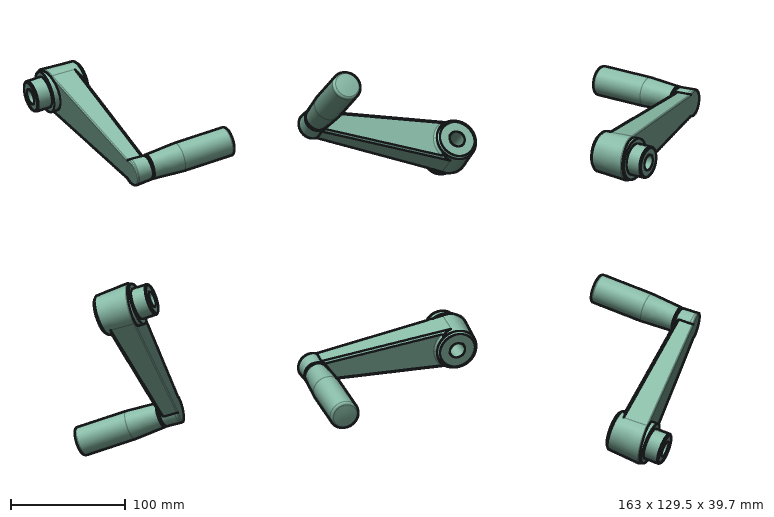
import cadquery as cq
import math

ARM_LENGTH = 130.0
DRAFT = 3.5
DRAFT_SLOPE = math.tan(math.radians(DRAFT))

SLEEVE_RADIUS = 14.0
SLEEVE_LENGTH = 14.0
SLEEVE_CHAMFER = 1.0
BORE_DIAMETER = 14.0
COLLAR_RADIUS = 18.5

HUB_TOP = 49.0
HUB_BASE = 15.5
HUB_BASE_RADIUS = 20.08
HUB_TOP_CHAMFER = 2.0

BOSS_TOP = 49.5
BOSS_FOOT_TOP = 35.4
BOSS_FOOT_RADIUS = 11.9
BOSS_TOP_CHAMFER = 0.5

UNDERSIDE_ANGLE = 6.4
UNDERSIDE_AT_HUB = 17.95
UPPER_ANGLE = 2.1
UPPER_AT_HUB = 43.45
ARM_HALF_WIDTH_AT_HUB = 20.0
ARM_HALF_WIDTH_AT_BOSS = 11.2
ARM_TOP_CHAMFER = 2.0
ROOT_FILLET = 2.0
UNDERSIDE_EDGE_RADIUS = 1.0

NECK_RADIUS = 10.0
GRIP_START = 50.2
GRIP_START_RADIUS = 11.1
GRIP_CHAMFER = 0.5
SHANK_END = 79.7
SHANK_END_RADIUS = 13.0
BARREL_RADIUS = SHANK_END_RADIUS
GRIP_END = 129.5
DOME_HEIGHT = 1.2
BARREL_END_FILLET = 2.5


def underside_y(x):
    return UNDERSIDE_AT_HUB + x * math.tan(math.radians(UNDERSIDE_ANGLE))


def upper_y(x):
    return UPPER_AT_HUB + x * math.tan(math.radians(UPPER_ANGLE))


def hub_radius(y):
    return HUB_BASE_RADIUS - (y - HUB_BASE) * DRAFT_SLOPE


def turned(profile, axis_x):
    """Revolve a closed (radius, Y) profile about the line parallel to Y at axis_x."""
    return profile.close().revolve(360, (0, 0, 0), (0, 1, 0)).translate((axis_x, 0, 0))


def rod(radius, start, end, axis_x=0.0):
    profile = cq.Workplane("XY").moveTo(0, start).lineTo(radius, start).lineTo(radius, end).lineTo(0, end)
    return turned(profile, axis_x)


def make_hub():
    profile = (
        cq.Workplane("XY")
        .moveTo(0, HUB_BASE)
        .lineTo(HUB_BASE_RADIUS, HUB_BASE)
        .lineTo(hub_radius(HUB_TOP), HUB_TOP)
        .lineTo(0, HUB_TOP)
    )
    return turned(profile, 0).faces(">Y").chamfer(HUB_TOP_CHAMFER)


def make_boss():
    top_radius = BOSS_FOOT_RADIUS - (BOSS_TOP - BOSS_FOOT_TOP) * DRAFT_SLOPE
    profile = (
        cq.Workplane("XY")
        .moveTo(0, HUB_BASE)
        .lineTo(BOSS_FOOT_RADIUS, HUB_BASE)
        .lineTo(BOSS_FOOT_RADIUS, BOSS_FOOT_TOP)
        .lineTo(top_radius, BOSS_TOP)
        .lineTo(0, BOSS_TOP)
    )
    return turned(profile, ARM_LENGTH).faces(">Y").chamfer(BOSS_TOP_CHAMFER)


def make_arm():
    plan = (
        cq.Workplane("ZX", origin=(0, HUB_BASE, 0))
        .moveTo(-ARM_HALF_WIDTH_AT_HUB, 0)
        .lineTo(-ARM_HALF_WIDTH_AT_BOSS, ARM_LENGTH)
        .lineTo(ARM_HALF_WIDTH_AT_BOSS, ARM_LENGTH)
        .lineTo(ARM_HALF_WIDTH_AT_HUB, 0)
        .close()
        .extrude(HUB_TOP - HUB_BASE, taper=DRAFT)
    )
    below_upper_face = (
        cq.Workplane("XY")
        .moveTo(0, 0)
        .lineTo(ARM_LENGTH, 0)
        .lineTo(ARM_LENGTH, upper_y(ARM_LENGTH))
        .lineTo(0, upper_y(0))
        .close()
        .extrude(HUB_BASE_RADIUS * 2, both=True)
    )
    arm = plan.intersect(below_upper_face)
    return arm.faces(">Y").edges("<Z or >Z").chamfer(ARM_TOP_CHAMFER)


def below_underside():
    left = -2 * HUB_BASE_RADIUS
    right = ARM_LENGTH + 2 * HUB_BASE_RADIUS
    return (
        cq.Workplane("XY")
        .moveTo(left, underside_y(left))
        .lineTo(right, underside_y(right))
        .lineTo(right, -HUB_TOP)
        .lineTo(left, -HUB_TOP)
        .close()
        .extrude(HUB_BASE_RADIUS * 2, both=True)
    )


def make_crank_body():
    body = make_hub().union(make_arm())
    body = body.edges("%ELLIPSE").edges(">X").fillet(ROOT_FILLET)
    body = body.union(make_boss()).cut(below_underside())
    return body.faces("<Y").edges().fillet(UNDERSIDE_EDGE_RADIUS)


def make_sleeve():
    inner_end = HUB_TOP / 2
    sleeve = rod(SLEEVE_RADIUS, 0, inner_end).faces("<Y").chamfer(SLEEVE_CHAMFER)
    collar = rod(COLLAR_RADIUS, SLEEVE_LENGTH, inner_end)
    return sleeve.union(collar)


def make_grip():
    shank_profile = (
        cq.Workplane("XY")
        .moveTo(0, GRIP_START)
        .lineTo(GRIP_START_RADIUS, GRIP_START)
        .lineTo(SHANK_END_RADIUS, SHANK_END)
        .lineTo(0, SHANK_END)
    )
    barrel_edge = GRIP_END - DOME_HEIGHT
    dome_radius = (BARREL_RADIUS**2 + DOME_HEIGHT**2) / (2 * DOME_HEIGHT)
    half_way = BARREL_RADIUS / 2
    half_way_y = GRIP_END - dome_radius + math.sqrt(dome_radius**2 - half_way**2)
    barrel_profile = (
        cq.Workplane("XY")
        .moveTo(0, SHANK_END)
        .lineTo(BARREL_RADIUS, SHANK_END)
        .lineTo(BARREL_RADIUS, barrel_edge)
        .threePointArc((half_way, half_way_y), (0, GRIP_END))
    )
    neck = rod(NECK_RADIUS, BOSS_TOP, GRIP_START, ARM_LENGTH)
    shank = turned(shank_profile, ARM_LENGTH).faces("<Y").chamfer(GRIP_CHAMFER)
    barrel = turned(barrel_profile, ARM_LENGTH).faces(">Y").edges().fillet(BARREL_END_FILLET)
    return neck.union(shank).union(barrel)


bore = rod(BORE_DIAMETER / 2, 0, HUB_TOP)
result = make_crank_body().union(make_sleeve()).union(make_grip()).cut(bore)